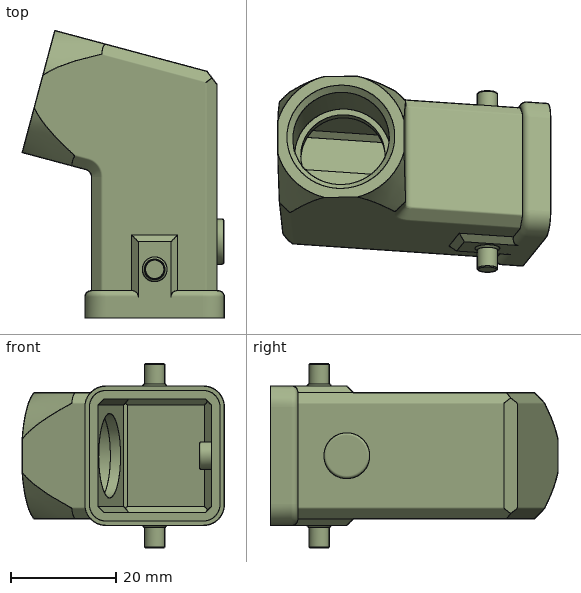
import cadquery as cq
import math


BODY_WIDTH = 24.0
BODY_RIGHT = 11.85
BODY_CHAMFER = 2.0
EDGE_FILLET = 0.5
ELBOW_RADIUS = 1.5
WALL = 1.25
CAVITY_RIM_CHAMFER = 1.1
CAVITY_CROWN_CHAMFER = 1.35
CAVITY_INNER_CHAMFER = 0.6

ENTRY_TILT = 15.0
ENTRY_X = -22.07
ENTRY_Y = 43.01
ENTRY_END_RADIUS = 12.4
ENTRY_CONE_GROWTH = 3.2
ENTRY_CONE_RUN = 9.8
ENTRY_CONE_LENGTH = 12.0

BORE_DIAMETER = 18.3
BORE_DEPTH = 12.0
BORE_LEAD_IN = 1.1
CABLE_HOLE_DIAMETER = 16.0
INNER_WALL_DEPTH = 14.0

FLANGE_WIDTH = 26.5
FLANGE_HEIGHT = 5.2
FLANGE_CORNER_RADIUS = 4.0
FLANGE_TOP_FILLET = 1.2
MOUTH_RIM = 0.85
MOUTH_DEPTH = 3.15

PAD_WIDTH = 8.7
PAD_HEIGHT = 15.75
PIN_DIAMETER = 3.9
PIN_Y = 9.25
PIN_SPAN = 35.0
PIN_ROOT_CHAMFER = 0.4
PIN_TIP_CHAMFER = 0.2

BOSS_DIAMETER = 8.7
BOSS_Y = 14.5
BOSS_TOP = 13.15
BOSS_FILLET = 0.5
RIB_WIDTH = 5.3
RIB_THICKNESS = 2.25
RIB_FILLET = 0.45

HALF_BODY = BODY_WIDTH / 2
HALF_FLANGE = FLANGE_WIDTH / 2
HALF_CAVITY = HALF_BODY - WALL
TILT = math.radians(ENTRY_TILT)
INWARD = (math.cos(TILT), -math.sin(TILT))
ACROSS = (math.sin(TILT), math.cos(TILT))


def entry_point(depth, offset):
    """XY point at a depth along the entry axis and an offset across it."""
    x = ENTRY_X + depth * INWARD[0] + offset * ACROSS[0]
    y = ENTRY_Y + depth * INWARD[1] + offset * ACROSS[1]
    return (x, y)


def entry_point_at_x(x, offset):
    """XY point with the given X on a line parallel to the entry axis."""
    start_x = entry_point(0, offset)[0]
    return entry_point((x - start_x) / INWARD[0], offset)


def entry_plane(depth):
    """Plane square to the entry axis, with its normal pointing into the part."""
    x, y = entry_point(depth, 0)
    return cq.Plane(origin=(x, y, 0), xDir=(0, 0, 1), normal=(INWARD[0], INWARD[1], 0))


def along_z(outline, half_height):
    """Extrude a closed XY outline to both sides of Z = 0."""
    return cq.Workplane("XY").polyline(outline).close().extrude(half_height, both=True)


def mating_plane(y):
    """Plane parallel to the mating face, with its normal along +Y."""
    return cq.Workplane(cq.Plane(origin=(0, y, 0), xDir=(1, 0, 0), normal=(0, 1, 0)))


def is_long_edge(edge):
    """True for edges that lie neither in the mating face nor in the entry end face."""
    middle = edge.Center()
    depth = (middle.x - ENTRY_X) * INWARD[0] + (middle.y - ENTRY_Y) * INWARD[1]
    return middle.y > EDGE_FILLET and depth > EDGE_FILLET


def upright_edge_at(point):
    """Selector for the edge parallel to Z whose middle lies at an XY point."""
    return cq.NearestToPointSelector((point[0], point[1], 0))


def is_bevel_border(edge):
    """True for the long edges on either side of the bevels around the flat sides."""
    box = edge.BoundingBox()
    return is_long_edge(edge) and box.zlen < EDGE_FILLET


def make_body():
    elbow = entry_point_at_x(-HALF_BODY, -HALF_BODY)
    crown = entry_point_at_x(BODY_RIGHT, HALF_BODY)
    outline = [
        (-HALF_BODY, 0),
        elbow,
        entry_point(0, -HALF_BODY),
        entry_point(0, HALF_BODY),
        crown,
        (BODY_RIGHT, 0),
    ]
    body = along_z(outline, HALF_BODY)
    body = body.edges(upright_edge_at(elbow)).fillet(ELBOW_RADIUS)
    body = body.faces("|Z").edges().filter(is_long_edge).chamfer(BODY_CHAMFER)
    body = body.edges(upright_edge_at(crown)).chamfer(BODY_CHAMFER)
    return body.edges().filter(is_bevel_border).fillet(EDGE_FILLET)


def make_entry_relief():
    """Cutter that turns the square entry into a cone widening away from its end face."""
    growth = ENTRY_CONE_GROWTH * ENTRY_CONE_LENGTH / ENTRY_CONE_RUN
    wide_radius = ENTRY_END_RADIUS + growth
    sleeve = cq.Workplane(entry_plane(0)).circle(wide_radius).extrude(ENTRY_CONE_LENGTH)
    cone = cq.Workplane(
        cq.Solid.makeCone(
            ENTRY_END_RADIUS,
            wide_radius,
            ENTRY_CONE_LENGTH,
            pnt=entry_plane(0).origin,
            dir=entry_plane(0).zDir,
        )
    )
    return sleeve.cut(cone)


def make_flange():
    flange = mating_plane(0).rect(FLANGE_WIDTH, FLANGE_WIDTH).extrude(FLANGE_HEIGHT)
    flange = flange.edges("|Y").fillet(FLANGE_CORNER_RADIUS)
    return flange.faces(">Y").edges().fillet(FLANGE_TOP_FILLET)


def make_pad_with_pin():
    """Bevelled pad on the +Z side, level with the flange, carrying a locking pin."""
    rise = HALF_FLANGE - HALF_BODY
    pad_bottom = HALF_BODY - WALL / 2
    pad = (
        cq.Workplane("XY", origin=(0, PAD_HEIGHT / 2, pad_bottom))
        .rect(PAD_WIDTH, PAD_HEIGHT)
        .extrude(HALF_FLANGE - pad_bottom)
    )
    pad = pad.faces(">Z").edges("<X or >X or >Y").chamfer(rise)

    root_radius = PIN_DIAMETER / 2
    pin = (
        cq.Workplane("XY", origin=(0, PIN_Y, pad_bottom))
        .circle(root_radius)
        .extrude(PIN_SPAN / 2 - pad_bottom)
        .faces(">Z")
        .chamfer(PIN_TIP_CHAMFER)
    )
    root = cq.Workplane(
        cq.Solid.makeCone(
            root_radius + PIN_ROOT_CHAMFER,
            root_radius,
            PIN_ROOT_CHAMFER,
            pnt=cq.Vector(0, PIN_Y, HALF_FLANGE),
        )
    )
    return pad.union(pin).union(root)


def make_side_boss():
    """Round boss on the outside of the +X wall."""
    start = HALF_BODY - WALL / 2
    boss = (
        cq.Workplane("YZ", origin=(start, BOSS_Y, 0))
        .circle(BOSS_DIAMETER / 2)
        .extrude(BOSS_TOP - start)
    )
    return boss.faces(">X").edges().fillet(BOSS_FILLET)


def make_cavity():
    """Inner space, following the body outline one wall thickness inside."""
    crown = entry_point_at_x(HALF_CAVITY, HALF_CAVITY)
    inner_corner = entry_point(INNER_WALL_DEPTH, HALF_CAVITY)
    wall_slope = ACROSS[1] / ACROSS[0]
    wall_start_y = inner_corner[1] - (inner_corner[0] + HALF_CAVITY) * wall_slope
    outline = [
        (-HALF_CAVITY, 0),
        (-HALF_CAVITY, wall_start_y),
        inner_corner,
        crown,
        (HALF_CAVITY, 0),
    ]
    cavity = along_z(outline, HALF_CAVITY)
    rims = cavity.faces("|Z").edges().filter(lambda edge: edge.Center().y > MOUTH_DEPTH)
    cavity = rims.chamfer(CAVITY_RIM_CHAMFER)
    cavity = cavity.edges(upright_edge_at(crown)).chamfer(CAVITY_CROWN_CHAMFER)
    return cavity.edges(upright_edge_at(inner_corner)).chamfer(CAVITY_INNER_CHAMFER)


def make_mouth():
    """Wider recess around the cavity at the mating face."""
    width = FLANGE_WIDTH - 2 * MOUTH_RIM
    mouth = mating_plane(0).rect(width, width).extrude(MOUTH_DEPTH)
    return mouth.edges("|Y").fillet(FLANGE_CORNER_RADIUS - MOUTH_RIM)


def make_entry_bore():
    """Cable bore with a lead-in chamfer, and the smaller hole on into the cavity."""
    bore_radius = BORE_DIAMETER / 2
    bore = cq.Workplane(entry_plane(0)).circle(bore_radius).extrude(BORE_DEPTH)
    hole = (
        cq.Workplane(entry_plane(BORE_DEPTH / 2))
        .circle(CABLE_HOLE_DIAMETER / 2)
        .extrude(INNER_WALL_DEPTH - BORE_DEPTH / 2 + WALL / 2)
    )
    lead_in = cq.Workplane(
        cq.Solid.makeCone(
            bore_radius + BORE_LEAD_IN,
            bore_radius,
            BORE_LEAD_IN,
            pnt=entry_plane(0).origin,
            dir=entry_plane(0).zDir,
        )
    )
    return bore.union(hole).union(lead_in)


def make_rib():
    """Round-ended rib inside the +X wall, from the boss up to the end wall of the cavity."""
    radius = RIB_WIDTH / 2
    rib_face = HALF_CAVITY - RIB_THICKNESS
    end_y = entry_point_at_x(rib_face, HALF_CAVITY + WALL / 2)[1]
    thickness = RIB_THICKNESS + WALL / 2
    rib = (
        cq.Workplane("YZ", origin=(rib_face, 0, 0))
        .moveTo(BOSS_Y, -radius)
        .lineTo(end_y, -radius)
        .lineTo(end_y, radius)
        .lineTo(BOSS_Y, radius)
        .threePointArc((BOSS_Y - radius, 0), (BOSS_Y, -radius))
        .close()
        .extrude(thickness)
    )
    return rib.faces("<X").edges("not >Y").fillet(RIB_FILLET)


body = make_body().cut(make_entry_relief())
pad_with_pin = make_pad_with_pin()

result = (
    body
    .union(make_flange())
    .union(pad_with_pin)
    .union(pad_with_pin.mirror("XY"))
    .union(make_side_boss())
    .cut(make_cavity())
    .cut(make_mouth())
    .cut(make_entry_bore())
    .union(make_rib().intersect(body))
)